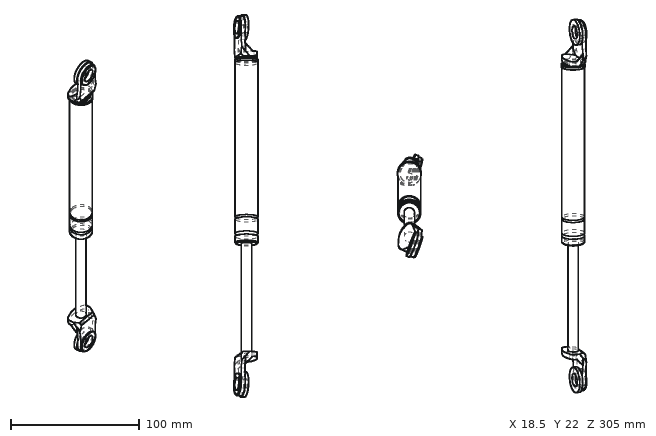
import cadquery as cq

TOTAL_LENGTH = 305.0
HALF_LENGTH = TOTAL_LENGTH / 2

BUSHING_RADIUS = 10.0
BUSHING_START_X = 1.2
BORE_DIAMETER = 10.0
BORE_RADIUS = BORE_DIAMETER / 2
EYE_Z = HALF_LENGTH - BUSHING_RADIUS

PLATE_INNER_X = 4.0
PLATE_OUTER_X = 7.0
EYE_RADIUS = 9.0
PLATE_TAPER_Z = 131.0
PLATE_BASE_HALF_WIDTH = 10.0
LIP_RADIUS = 8.5
LIP_THICKNESS = 1.0
FOOT_BOTTOM_Z = 118.0
FOOT_TOP_Z = 122.0
FOOT_FRONT_X = -8.0
EAR_SHOULDER = (-6.5, 7.0)
EAR_CURVE = (-5.2, 9.8)
EAR_TIP = (-2.5, 11.0)
CORNER_CHAMFER = 1.8
GUSSET_RUN = 5.8
GUSSET_INNER_Y = 5.0
BEVEL_START_X = 0.3
BEVEL_TOP_Z = 125.7
BEVEL_INNER_Y = 7.3

TUBE_DIAMETER = 18.0
TUBE_RADIUS = TUBE_DIAMETER / 2
TUBE_BOTTOM_Z = -30.0
TUBE_CHAMFER = 1.0
RIM_DIAMETER = 18.5
RIM_RADIUS = RIM_DIAMETER / 2
RIM_BOTTOM_Z = 114.7
RIM_TOP_Z = 116.5
NECK_RADIUS = 7.5
UPPER_GROOVE_Z = -9.5
UPPER_GROOVE_WIDTH = 1.8
UPPER_GROOVE_DEPTH = 0.5
LOWER_GROOVE_Z = -23.0
LOWER_GROOVE_WIDTH = 2.5
LOWER_GROOVE_DEPTH = 0.3
ROD_DIAMETER = 8.2
ROD_RADIUS = ROD_DIAMETER / 2

CUT_SIZE = 61.0


def x_cylinder(radius, start_x, end_x):
    """Cylinder along X, centred on the eye."""
    plane = cq.Workplane("YZ", origin=(start_x, 0, EYE_Z))
    return plane.circle(radius).extrude(end_x - start_x)


def groove(center_z, width, depth):
    """Ring with a circular-arc section that rolls a groove into the tube."""
    return (
        cq.Workplane("XZ")
        .moveTo(TUBE_RADIUS, center_z - width / 2)
        .threePointArc((TUBE_RADIUS - depth, center_z), (TUBE_RADIUS, center_z + width / 2))
        .close()
        .revolve(360, (0, 0, 0), (0, 1, 0))
    )


def make_tube():
    body = (
        cq.Workplane("XY", origin=(0, 0, TUBE_BOTTOM_Z))
        .circle(TUBE_RADIUS)
        .extrude(RIM_BOTTOM_Z - TUBE_BOTTOM_Z)
        .faces("<Z")
        .chamfer(TUBE_CHAMFER)
    )
    rim = cq.Workplane("XY", origin=(0, 0, RIM_BOTTOM_Z)).circle(RIM_RADIUS).extrude(RIM_TOP_Z - RIM_BOTTOM_Z)
    neck = cq.Workplane("XY", origin=(0, 0, RIM_TOP_Z)).circle(NECK_RADIUS).extrude(FOOT_BOTTOM_Z - RIM_TOP_Z)
    neck = neck.intersect(cq.Workplane("XY").box(2 * PLATE_OUTER_X, CUT_SIZE, TOTAL_LENGTH))
    body = body.cut(groove(UPPER_GROOVE_Z, UPPER_GROOVE_WIDTH, UPPER_GROOVE_DEPTH))
    body = body.cut(groove(LOWER_GROOVE_Z, LOWER_GROOVE_WIDTH, LOWER_GROOVE_DEPTH))
    return body.union(rim).union(neck)


def make_rod():
    rod_bottom_z = -FOOT_BOTTOM_Z
    return cq.Workplane("XY", origin=(0, 0, rod_bottom_z)).circle(ROD_RADIUS).extrude(TUBE_BOTTOM_Z - rod_bottom_z)


def make_bushing():
    ring = x_cylinder(BUSHING_RADIUS, BUSHING_START_X, PLATE_INNER_X)
    return ring.cut(x_cylinder(BORE_RADIUS, BUSHING_START_X, PLATE_INNER_X))


def block_beyond_plane(start, top, inner):
    """Large block on the outward, downward side of the plane through three points."""
    start_point = cq.Vector(*start)
    outward = (cq.Vector(*top) - start_point).cross(cq.Vector(*inner) - start_point)
    plane = cq.Plane(origin=start, normal=outward.toTuple())
    return cq.Workplane(plane).rect(CUT_SIZE, CUT_SIZE).extrude(CUT_SIZE)


def foot_prism(height):
    """Foot outline: curved front, two rounded ears, sides tapering to the plate."""
    shoulder_x, shoulder_y = EAR_SHOULDER
    curve_x, curve_y = EAR_CURVE
    tip_x, tip_y = EAR_TIP
    return (
        cq.Workplane("XY", origin=(0, 0, FOOT_BOTTOM_Z))
        .moveTo(PLATE_OUTER_X, -PLATE_BASE_HALF_WIDTH)
        .lineTo(PLATE_OUTER_X, PLATE_BASE_HALF_WIDTH)
        .lineTo(tip_x, tip_y)
        .threePointArc((curve_x, curve_y), (shoulder_x, shoulder_y))
        .threePointArc((FOOT_FRONT_X, 0), (shoulder_x, -shoulder_y))
        .threePointArc((curve_x, -curve_y), (tip_x, -tip_y))
        .close()
        .extrude(height)
    )


def make_gussets():
    """Two 45 degree webs joining the ears to the plate, each with one sloping inner face."""
    gusset_top_z = FOOT_TOP_Z + GUSSET_RUN
    wedge = (
        cq.Workplane("XZ")
        .moveTo(PLATE_INNER_X - GUSSET_RUN, FOOT_TOP_Z)
        .lineTo(PLATE_INNER_X, FOOT_TOP_Z)
        .lineTo(PLATE_INNER_X, gusset_top_z)
        .close()
        .extrude(CUT_SIZE / 2, both=True)
    )
    ears = wedge.intersect(foot_prism(gusset_top_z - FOOT_BOTTOM_Z))
    outside = block_beyond_plane(
        (PLATE_INNER_X - GUSSET_RUN, EAR_TIP[1], FOOT_TOP_Z),
        (PLATE_INNER_X, PLATE_BASE_HALF_WIDTH, gusset_top_z),
        (PLATE_INNER_X, GUSSET_INNER_Y, FOOT_TOP_Z),
    )
    gusset = ears.intersect(outside)
    return gusset.union(gusset.mirror("XZ"))


def corner_bevel():
    """Cutter for the +Y lower corner of the bend."""
    return block_beyond_plane(
        (BEVEL_START_X, EAR_TIP[1], FOOT_BOTTOM_Z),
        (PLATE_OUTER_X, PLATE_BASE_HALF_WIDTH, BEVEL_TOP_Z),
        (PLATE_OUTER_X, BEVEL_INNER_Y, FOOT_BOTTOM_Z),
    )


def make_bracket():
    plate = (
        cq.Workplane("YZ", origin=(PLATE_INNER_X, 0, 0))
        .moveTo(-PLATE_BASE_HALF_WIDTH, FOOT_BOTTOM_Z)
        .lineTo(PLATE_BASE_HALF_WIDTH, FOOT_BOTTOM_Z)
        .lineTo(PLATE_BASE_HALF_WIDTH, BEVEL_TOP_Z)
        .lineTo(EYE_RADIUS, PLATE_TAPER_Z)
        .lineTo(EYE_RADIUS, EYE_Z)
        .threePointArc((0, EYE_Z + EYE_RADIUS), (-EYE_RADIUS, EYE_Z))
        .lineTo(-EYE_RADIUS, PLATE_TAPER_Z)
        .lineTo(-PLATE_BASE_HALF_WIDTH, BEVEL_TOP_Z)
        .close()
        .extrude(PLATE_OUTER_X - PLATE_INNER_X)
    )
    bracket = plate.union(foot_prism(FOOT_TOP_Z - FOOT_BOTTOM_Z)).union(make_gussets())
    bend_edge = cq.selectors.NearestToPointSelector((PLATE_OUTER_X, 0, FOOT_BOTTOM_Z))
    bracket = bracket.edges(bend_edge).chamfer(CORNER_CHAMFER)
    bevel = corner_bevel()
    bracket = bracket.cut(bevel).cut(bevel.mirror("XZ"))
    lip_end_x = PLATE_OUTER_X + LIP_THICKNESS
    bracket = bracket.union(x_cylinder(LIP_RADIUS, PLATE_OUTER_X, lip_end_x))
    return bracket.cut(x_cylinder(BORE_RADIUS, PLATE_INNER_X, lip_end_x))


tube = make_tube()
rod = make_rod()

end_fittings = []
for fitting in (make_bracket(), make_bushing()):
    end_fittings.append(fitting.val())
    end_fittings.append(fitting.mirror("XY").val())

result = cq.Compound.makeCompound([tube.val(), rod.val(), *end_fittings])